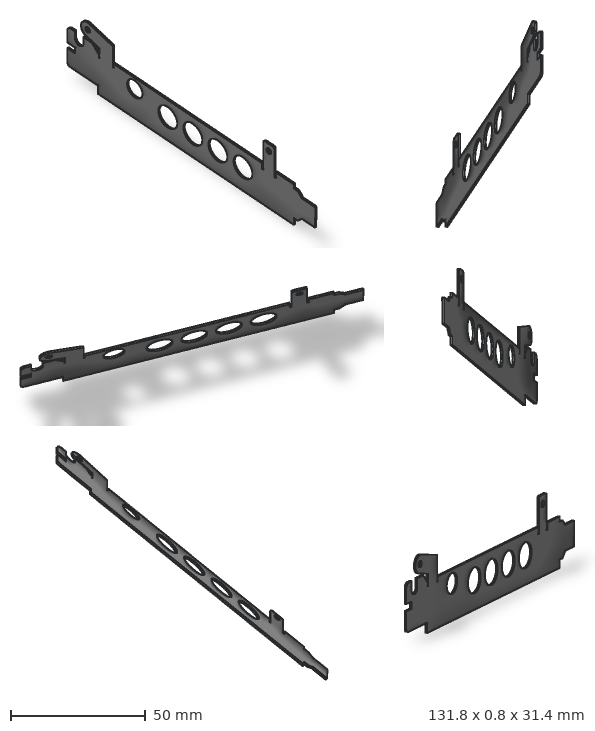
import cadquery as cq
import math

thickness = 0.8
length = 131.8
height = 31.4

body_left = 16.3
body_right = 120.3
body_top = 19.8

end_bottom = 4.0
end_top = 22.9
end_slope_foot = 16.3
end_slope_width = 3.2
end_top_radius = 2.0
end_bottom_radius = 1.6
side_notch_depth = 4.1
side_notch_bottom = 12.3
side_notch_top = 15.0
top_slot_x = 6.3
top_slot_radius = 2.2
top_slot_bottom = 17.4

shoulder_step_top = 2.0
shoulder_step_bottom = 3.2
shoulder_right = 122.4
tongue_left = 124.6
tongue_top = 15.5
tongue_bottom = 5.5
tongue_end_taper = 0.3
tongue_chamfer = 0.5

tab_hole_radius = 1.25
tab_hole_z = 27.8
arm_left = 17.1
arm_right = 24.2
arm_hole_x = 10.8
arm_angle = math.radians(14)
arm_corner_radius = 0.5
arm_relief_width = 0.4
arm_relief_bottom = 17.8
tab_left = 104.1
tab_right = 110.0
tab_corner_radius = 0.9
tab_relief_width = 0.8
tab_relief_bottom = 17.0

small_hole_x = 35.8
small_hole_z = 14.4
small_hole_radius = 4.1
large_hole_first_x = 53.4
large_hole_pitch = 13.3
large_hole_count = 4
large_hole_z = 11.3
large_hole_radius = 5.0


def plate(points):
    """Extrude a closed X-Z outline through the sheet thickness."""
    return cq.Workplane("XZ").polyline(points).close().extrude(thickness / 2, both=True)


def block(x_min, x_max, z_min, z_max):
    return plate([(x_min, z_min), (x_max, z_min), (x_max, z_max), (x_min, z_max)])


def disc(x, z, radius):
    return cq.Workplane("XZ").center(x, z).circle(radius).extrude(thickness / 2, both=True)


def round_corner(solid, x, z, radius):
    """Round the through-thickness edge nearest to (x, z)."""
    return solid.edges("|Y").edges(cq.selectors.NearestToPointSelector((x, 0, z))).fillet(radius)


def make_body():
    body = plate([
        (0, end_bottom),
        (body_left, end_bottom),
        (body_left, 0),
        (body_right, 0),
        (body_right, shoulder_step_bottom),
        (shoulder_right, shoulder_step_bottom),
        (tongue_left, tongue_bottom),
        (length - tongue_end_taper, tongue_bottom),
        (length, tongue_top - tongue_chamfer),
        (length - tongue_chamfer, tongue_top),
        (tongue_left, tongue_top),
        (shoulder_right, body_top - shoulder_step_top),
        (body_right, body_top - shoulder_step_top),
        (body_right, body_top),
        (end_slope_foot, body_top),
        (end_slope_foot - end_slope_width, end_top),
        (0, end_top),
    ])
    body = round_corner(body, 0, end_bottom, end_bottom_radius)
    return round_corner(body, 0, end_top, end_top_radius)


def cut_end_slots(body):
    slot_center_z = top_slot_bottom + top_slot_radius
    body = body.cut(block(0, side_notch_depth, side_notch_bottom, side_notch_top))
    body = body.cut(disc(top_slot_x, slot_center_z, top_slot_radius))
    return body.cut(block(top_slot_x - top_slot_radius, top_slot_x + top_slot_radius, slot_center_z, end_top))


def cut_reliefs(body, left, right, width, bottom):
    """Cut a narrow slot into the strip on each side of a tab."""
    body = body.cut(block(left - width, left, bottom, body_top))
    return body.cut(block(right, right + width, bottom, body_top))


def make_bent_arm():
    """Tab that rises from the strip and leans left to a round eye."""
    eye_radius = height - tab_hole_z
    dx = eye_radius * math.sin(arm_angle)
    dz = eye_radius * math.cos(arm_angle)
    slope = math.tan(arm_angle)
    upper_start = (arm_hole_x + dx, tab_hole_z + dz)
    lower_start = (arm_hole_x - dx, tab_hole_z - dz)
    upper_corner_z = upper_start[1] - slope * (arm_right - upper_start[0])
    lower_corner_z = lower_start[1] - slope * (arm_left - lower_start[0])
    arm = plate([
        lower_start,
        (arm_left, lower_corner_z),
        (arm_left, arm_relief_bottom),
        (arm_right, arm_relief_bottom),
        (arm_right, upper_corner_z),
        upper_start,
    ])
    arm = round_corner(arm, arm_right, upper_corner_z, arm_corner_radius)
    arm = round_corner(arm, arm_left, lower_corner_z, arm_corner_radius)
    arm = arm.union(disc(arm_hole_x, tab_hole_z, eye_radius))
    return arm.cut(disc(arm_hole_x, tab_hole_z, tab_hole_radius))


def make_straight_tab():
    tab = block(tab_left, tab_right, tab_relief_bottom, height)
    for x in (tab_left, tab_right):
        tab = round_corner(tab, x, height, tab_corner_radius)
    return tab.cut(disc((tab_left + tab_right) / 2, tab_hole_z, tab_hole_radius))


def cut_connector_holes(body):
    body = body.cut(disc(small_hole_x, small_hole_z, small_hole_radius))
    for i in range(large_hole_count):
        body = body.cut(disc(large_hole_first_x + i * large_hole_pitch, large_hole_z, large_hole_radius))
    return body


strip = cut_connector_holes(cut_end_slots(make_body()))
strip = cut_reliefs(strip, arm_left, arm_right, arm_relief_width, arm_relief_bottom)
strip = cut_reliefs(strip, tab_left, tab_right, tab_relief_width, tab_relief_bottom)
result = strip.union(make_bent_arm()).union(make_straight_tab())